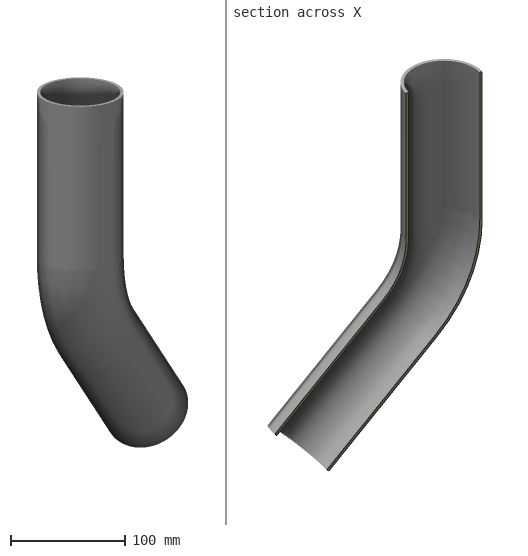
import cadquery as cq
import math

overall_height = 368.0
outer_diameter = 76.0
inner_diameter = 70.3
bend_radius = 114.5
bend_angle = 45.0

sin_bend = math.sin(math.radians(bend_angle))
cos_bend = math.cos(math.radians(bend_angle))
bend_drop = (bend_radius + outer_diameter / 2) * sin_bend
leg_length = (overall_height - bend_drop) / (1 + cos_bend)


def bend_point(angle):
    """Centreline point (Y, Z) of the bend, at an angle in degrees below its upper end."""
    turn = math.radians(angle)
    return (bend_radius * (1 - math.cos(turn)), -bend_radius * math.sin(turn))


def centreline():
    """Vertical leg, then the bend, then the lower leg sloping down towards +Y."""
    bend_end = bend_point(bend_angle)
    leg_end = (bend_end[0] + leg_length * sin_bend, bend_end[1] - leg_length * cos_bend)
    return (
        cq.Workplane("YZ")
        .moveTo(0, leg_length)
        .lineTo(0, 0)
        .threePointArc(bend_point(bend_angle / 2), bend_end)
        .lineTo(*leg_end)
    )


result = (
    cq.Workplane("XY", origin=(0, 0, leg_length))
    .circle(outer_diameter / 2)
    .circle(inner_diameter / 2)
    .sweep(centreline())
)